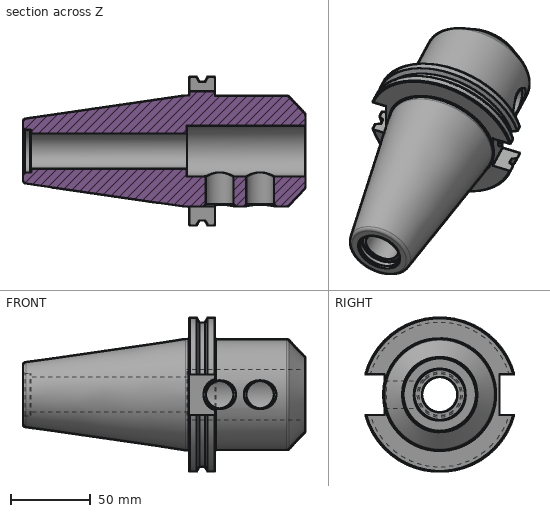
import cadquery as cq
import math

length = 177.8

small_end_radius = 20.3
small_end_fillet = 2.1
taper_end_x = 102.2
body_radius = 69.9 / 2
collar_radius = 70.2 / 2

flange_start_x = 104.5
flange_width = 16.4
flange_radius = 48.5
flange_chamfer = 0.5
flange_root_fillet = 0.5
groove_bottom_width = 3.5
groove_depth = 3.0
groove_wall_angle = 30.0

nose_length = 11.0
nose_face_radius = 23.3
nose_edge_chamfer = 0.5
shoulder_fillet = 2.3

slot_width = 25.6
slot_floor_front = 34.9
slot_floor_back = 37.7

through_radius = 22.0 / 2
counterbore_radius = 26.7 / 2
counterbore_floor_radius = 26.1 / 2
counterbore_depth = 4.6
counterbore_floor_taper = 0.5
entry_radius = 28.5 / 2
entry_depth = 1.2
tool_bore_radius = 31.8 / 2
tool_bore_depth = 74.7
tool_bore_chamfer = 0.45

screw_hole_xs = (123.8, 149.2)
screw_hole_radius = 17.2 / 2
screw_countersink_radius = 20.5 / 2

selection_margin = 0.2


def revolve_profile(profile):
    """Turn a closed (x, radius) outline about the X axis."""
    return profile.close().revolve(360, (0, 0, 0), (1, 0, 0))


def ring_selector(x, radius):
    """Select circular edges about the axis, at x and no larger than the given radius."""
    reach = radius + selection_margin
    return cq.selectors.BoxSelector(
        (x - selection_margin, -reach, -reach),
        (x + selection_margin, reach, reach),
        boundingbox=True,
    )


def x_cylinder(start_x, depth, radius):
    return cq.Workplane("YZ").workplane(offset=start_x).circle(radius).extrude(depth)


def x_cone(start_x, depth, start_radius, end_radius):
    cone = cq.Solid.makeCone(start_radius, end_radius, depth, cq.Vector(start_x, 0, 0), cq.Vector(1, 0, 0))
    return cq.Workplane(cone)


def make_shank():
    shank = revolve_profile(
        cq.Workplane("XY")
        .moveTo(0, 0)
        .lineTo(0, small_end_radius)
        .lineTo(taper_end_x, collar_radius)
        .lineTo(flange_start_x + flange_width / 2, collar_radius)
        .lineTo(flange_start_x + flange_width / 2, 0)
    )
    return shank.faces("<X").edges().fillet(small_end_fillet)


def make_flange():
    flange = x_cylinder(flange_start_x, flange_width, flange_radius).edges().chamfer(flange_chamfer)
    middle_x = flange_start_x + flange_width / 2
    bottom_half = groove_bottom_width / 2
    top_half = bottom_half + groove_depth * math.tan(math.radians(groove_wall_angle))
    bottom_radius = flange_radius - groove_depth
    groove = revolve_profile(
        cq.Workplane("XY")
        .moveTo(middle_x - top_half, flange_radius)
        .lineTo(middle_x - bottom_half, bottom_radius)
        .lineTo(middle_x + bottom_half, bottom_radius)
        .lineTo(middle_x + top_half, flange_radius)
    )
    return flange.cut(groove)


def cut_drive_slots(holder):
    for side, floor in ((-1, slot_floor_front), (1, slot_floor_back)):
        slot_depth = flange_radius - floor
        slot = cq.Workplane("XY").box(flange_width, slot_depth, slot_width)
        slot_center = (flange_start_x + flange_width / 2, side * (floor + slot_depth / 2), 0)
        holder = holder.cut(slot.translate(slot_center))
    return holder


def make_body():
    nose_start_x = length - nose_length
    body = revolve_profile(
        cq.Workplane("XY")
        .moveTo(flange_start_x, 0)
        .lineTo(flange_start_x, body_radius)
        .lineTo(nose_start_x, body_radius)
        .lineTo(length, nose_face_radius)
        .lineTo(length, 0)
    )
    shoulder = ring_selector(nose_start_x, body_radius)
    body = body.edges(shoulder).fillet(shoulder_fillet)
    return body.faces(">X").edges().chamfer(nose_edge_chamfer)


def fillet_flange_roots(holder):
    """Round the inside corners where the shank and the body meet the flange."""
    for x, radius in ((flange_start_x, collar_radius), (flange_start_x + flange_width, body_radius)):
        holder = holder.edges(ring_selector(x, radius)).fillet(flange_root_fillet)
    return holder


def make_axial_bores():
    entry = x_cone(0, entry_depth, entry_radius, counterbore_radius)
    floor_taper = x_cone(
        counterbore_depth, counterbore_floor_taper, counterbore_radius, counterbore_floor_radius
    )
    mouth_x = length - tool_bore_chamfer
    mouth = x_cone(mouth_x, tool_bore_chamfer, tool_bore_radius, tool_bore_radius + tool_bore_chamfer)
    return (
        x_cylinder(0, length, through_radius)
        .union(x_cylinder(0, counterbore_depth, counterbore_radius))
        .union(floor_taper)
        .union(entry)
        .union(x_cylinder(length - tool_bore_depth, tool_bore_depth, tool_bore_radius))
        .union(mouth)
    )


def make_screw_hole(x):
    """Hole to the axis, clear of the flange outside, with a 45 degree countersink at the body surface."""
    outside = cq.Vector(x, -flange_radius, 0)
    surface = cq.Vector(x, -body_radius, 0)
    inward = cq.Vector(0, 1, 0)
    countersink_depth = screw_countersink_radius - screw_hole_radius
    hole = cq.Solid.makeCylinder(screw_hole_radius, flange_radius, outside, inward)
    countersink = cq.Solid.makeCone(
        screw_countersink_radius, screw_hole_radius, countersink_depth, surface, inward
    )
    return cq.Workplane(hole).union(cq.Workplane(countersink))


result = make_shank().union(make_body()).union(make_flange())
result = fillet_flange_roots(result)
result = cut_drive_slots(result)
result = result.cut(make_axial_bores())
for hole_x in screw_hole_xs:
    result = result.cut(make_screw_hole(hole_x))